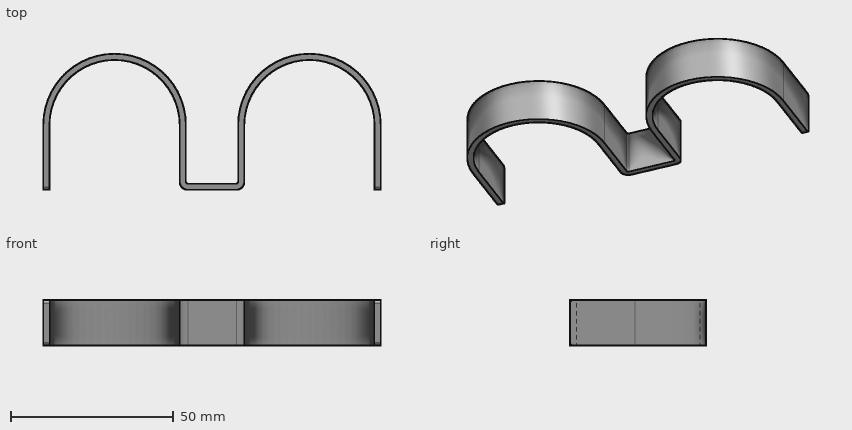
import cadquery as cq

total_length = 104.0
width = 14.0
thickness = 2.0
arch_spacing = 60.0
leg_length = 20.0
bend_inner_radius = 0.5
tip_radius = 1.0

arch_offset = arch_spacing / 2
outer_radius = (total_length - arch_spacing) / 2
inner_radius = outer_radius - thickness
bend_outer_radius = bend_inner_radius + thickness
bridge_half_length = arch_offset - inner_radius


def slab(x_min, x_max, y_min, y_max):
    """Full-width block between the given X and Y limits."""
    return (
        cq.Workplane("XY")
        .box(x_max - x_min, y_max - y_min, width, centered=(False, False, True))
        .translate((x_min, y_min, 0))
    )


def arch(center_x):
    """Half ring opening toward -Y."""
    ring = (
        cq.Workplane("XY", origin=(center_x, 0, -width / 2))
        .circle(outer_radius)
        .circle(inner_radius)
        .extrude(width)
    )
    back_half = slab(center_x - outer_radius, center_x + outer_radius, 0, outer_radius)
    return ring.intersect(back_half)


def outer_leg(side):
    """Straight free leg with its two tip corners rounded; side is -1 or 1."""
    center_x = side * (arch_offset + inner_radius + thickness / 2)
    leg = slab(center_x - thickness / 2, center_x + thickness / 2, -leg_length, 0)
    return leg.faces("<Y").edges("|X").fillet(tip_radius)


def bridge():
    """U-shaped strip joining the inner legs, with rounded bends."""
    channel = slab(-bridge_half_length, bridge_half_length, -leg_length, 0)
    channel = channel.edges("|Z and <Y").fillet(bend_outer_radius)
    opening_half_length = bridge_half_length - thickness
    opening = slab(-opening_half_length, opening_half_length, -leg_length + thickness, 0)
    opening = opening.edges("|Z and <Y").fillet(bend_inner_radius)
    return channel.cut(opening)


result = bridge()
for side in (-1, 1):
    result = result.union(arch(side * arch_offset)).union(outer_leg(side))